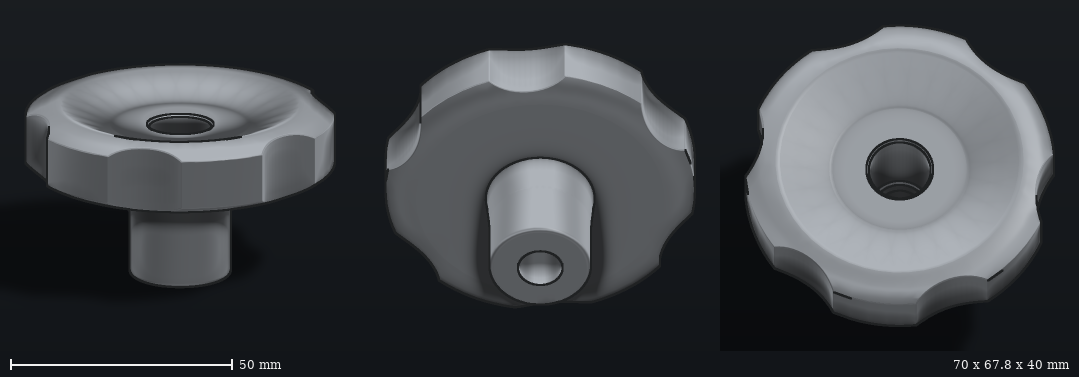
import cadquery as cq
import math

rim_radius = 35.0
rim_height = 16.0
total_height = 40.0
rim_bottom = total_height - rim_height

crown_width = 6.9
crown_drop = 2.45
rim_edge_fillet = 0.4
dish_lip_radius = 27.5
dish_floor_radius = 15.55
dish_depth = 4.6
dish_lip_fillet = 2.8
dish_floor_fillet = 2.0

scallop_count = 6
scallop_radius = 16.65
scallop_floor_distance = 31.6

hub_radius = 11.515
collar_height = 14.4
hub_end_fillet = 1.05
neck_joint_height = 0.5
neck_joint_flare = 0.015
neck_top_radius = 12.3

bore_diameter = 10.1
bore_chamfer = 1.0
upper_bore_diameter = 14.0
upper_bore_chamfer = 0.55


def make_rim():
    """Revolve the solid rim, with an arc crown tangent to its flat faces."""
    flat_radius = rim_radius - crown_width
    crown_radius = (crown_width**2 + crown_drop**2) / (2 * crown_drop)
    half_angle = math.asin(crown_width / crown_radius) / 2
    mid_radius = flat_radius + crown_radius * math.sin(half_angle)
    mid_drop = crown_radius * (1 - math.cos(half_angle))
    profile = (
        cq.Workplane("XZ")
        .moveTo(0, rim_bottom)
        .lineTo(flat_radius, rim_bottom)
        .threePointArc((mid_radius, rim_bottom + mid_drop), (rim_radius, rim_bottom + crown_drop))
        .lineTo(rim_radius, total_height - crown_drop)
        .threePointArc((mid_radius, total_height - mid_drop), (flat_radius, total_height))
        .lineTo(0, total_height)
        .close()
    )
    return profile.revolve(360, (0, 0, 0), (0, 1, 0))


def is_seam(edge):
    """Tell whether an edge is the seam of the revolved wall, which lies on the X axis."""
    return abs(edge.Center().y) < 0.01 and edge.geomType() == "LINE"


def cut_scallops(rim):
    """Cut the finger scallops, one facing +Y, and round their edges."""
    centre_distance = scallop_floor_distance + scallop_radius
    cutters = (
        cq.Workplane("XY", origin=(0, 0, rim_bottom))
        .polarArray(centre_distance, 90, 360, scallop_count)
        .circle(scallop_radius)
        .extrude(rim_height)
    )
    scalloped = rim.cut(cutters)
    sharp_edges = scalloped.faces("%CYLINDER").edges().filter(
        lambda edge: not is_seam(edge)
    )
    return sharp_edges.fillet(rim_edge_fillet)


def cut_dish(rim):
    """Cut the conical hollow in the top, with rounded lip and floor corner."""
    floor_z = total_height - dish_depth
    dish = (
        cq.Workplane("XZ")
        .moveTo(0, floor_z)
        .lineTo(dish_floor_radius, floor_z)
        .lineTo(dish_lip_radius, total_height)
        .lineTo(0, total_height)
        .close()
        .revolve(360, (0, 0, 0), (0, 1, 0))
        .faces("<Z")
        .edges()
        .fillet(dish_floor_fillet)
    )
    dished = rim.cut(dish)
    lip = dished.faces(">Z").edges(cq.selectors.RadiusNthSelector(0))
    return lip.fillet(dish_lip_fillet)


def make_hub():
    """Revolve the collar and the curved neck, with a rounded lower end."""
    neck_start = (hub_radius + neck_joint_flare, collar_height + neck_joint_height)
    hub = (
        cq.Workplane("XZ")
        .lineTo(hub_radius, 0)
        .lineTo(hub_radius, collar_height)
        .tangentArcPoint(neck_start, relative=False)
        .tangentArcPoint((neck_top_radius, rim_bottom), relative=False)
        .lineTo(0, rim_bottom)
        .close()
        .revolve(360, (0, 0, 0), (0, 1, 0))
    )
    return hub.faces("<Z").edges().fillet(hub_end_fillet)


def make_bore():
    """Through bore with a wider upper part; both mouths facing up are chamfered."""
    floor_z = total_height - dish_depth
    bore = bore_diameter / 2
    upper_bore = upper_bore_diameter / 2
    return (
        cq.Workplane("XZ")
        .lineTo(bore, 0)
        .lineTo(bore, collar_height - bore_chamfer)
        .lineTo(bore + bore_chamfer, collar_height)
        .lineTo(upper_bore, collar_height)
        .lineTo(upper_bore, floor_z - upper_bore_chamfer)
        .lineTo(upper_bore + upper_bore_chamfer, floor_z)
        .lineTo(0, floor_z)
        .close()
        .revolve(360, (0, 0, 0), (0, 1, 0))
    )


handwheel = cut_dish(cut_scallops(make_rim()))
result = handwheel.union(make_hub()).cut(make_bore())